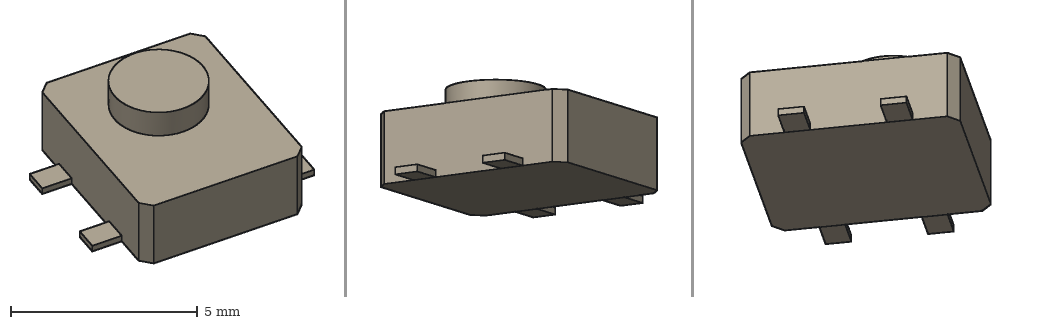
import cadquery as cq

housing_length = 6.0
housing_width = 5.0
housing_height = 2.0
corner_chamfer = 0.3

button_diameter = 2.7
button_height = 0.8
button_offset_x = -0.75

overall_width = 6.8
lead_width = 0.71
lead_thickness = 0.2
lead_pitch = 2.8
lead_length = (overall_width - housing_width) / 2


def make_housing():
    block = cq.Workplane("XY").box(
        housing_length, housing_width, housing_height, centered=(True, True, False)
    )
    return block.edges("|Z").chamfer(corner_chamfer)


def make_button():
    return (
        cq.Workplane("XY", origin=(button_offset_x, 0, housing_height))
        .circle(button_diameter / 2)
        .extrude(button_height)
    )


def make_lead(side_x, side_y):
    """One lead butting against the housing; each side is -1 or 1."""
    center_x = side_x * lead_pitch / 2
    center_y = side_y * (housing_width + lead_length) / 2
    return (
        cq.Workplane("XY")
        .box(lead_width, lead_length, lead_thickness, centered=(True, True, False))
        .translate((center_x, center_y, 0))
    )


housing = make_housing()
button = make_button()
leads = [make_lead(side_x, side_y) for side_x in (-1, 1) for side_y in (-1, 1)]

result = cq.Compound.makeCompound(
    [housing.val(), button.val(), *[lead.val() for lead in leads]]
)